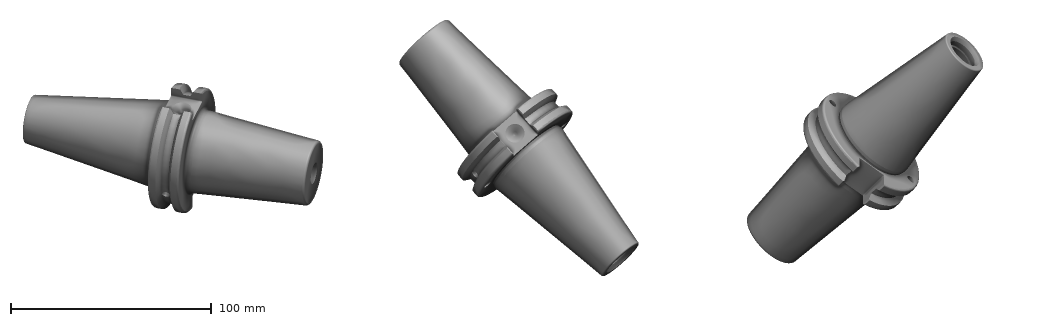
import cadquery as cq
import math

LENGTH = 148.2

GAUGE_X = 68.2
GAUGE_DIAMETER = 44.5
TAPER_RATIO = 7 / 24
SHANK_ROUNDING = 0.7
GAUGE_BAND_WIDTH = 1.5
UNDERCUT_DIAMETER = 43.6
UNDERCUT_LEAD = 0.9

FLANGE_START = 71.2
FLANGE_END = 87.3
FLANGE_DIAMETER = 63.5
FLANGE_ROUNDING = 1.2
GROOVE_CENTER = 79.3
GROOVE_WIDTH = 3.7
GROOVE_DIAMETER = 56.6
GROOVE_WALL_ANGLE = 30.0

COLLAR_DIAMETER = 42.0
COLLAR_FILLET = 1.5
COLLAR_END = 90.7
NOSE_ANGLE = 4.5
NOSE_ROUNDING = 1.3

BORE_DIAMETER = 11.0
BORE_MOUTH_DIAMETER = 13.3
RECESS_DIAMETER = 16.3
RECESS_MOUTH_DIAMETER = 18.8
RECESS_CONE_DEPTH = 2.0
RECESS_DEPTH = 4.7
BORE_MOUTH_END = 22.2

SLOT_WIDTH = 16.3
SLOT_FLOORS = {1: 24.9, -1: 22.5}
SLOT_CORNER_RADIUS = 0.6
SLOT_LIP_START = 30.0
DIMPLE_DIAMETER = 9.5
DIMPLE_ANGLE = 118.0

COOLANT_ANGLE = 19.7
INLET_DIAMETER = 4.2
INLET_RADIUS = 27.1
INLET_TILT = 20.0
RADIAL_HOLE_DIAMETER = 4.2


def turned_body():
    gauge_r = GAUGE_DIAMETER / 2
    undercut_r = UNDERCUT_DIAMETER / 2
    flange_r = FLANGE_DIAMETER / 2
    groove_r = GROOVE_DIAMETER / 2
    collar_r = COLLAR_DIAMETER / 2
    tip_r = gauge_r - GAUGE_X * TAPER_RATIO / 2
    shoulder_r = tip_r + SHANK_ROUNDING * TAPER_RATIO / 2
    shank_offset = SHANK_ROUNDING * (1 - math.sqrt(0.5))
    band_end = GAUGE_X + GAUGE_BAND_WIDTH
    rim_r = flange_r - FLANGE_ROUNDING
    rim_offset = FLANGE_ROUNDING * (1 - math.sqrt(0.5))
    rim_mid_r = flange_r - rim_offset
    groove_half = GROOVE_WIDTH / 2
    lip_half = groove_half + (flange_r - groove_r) * math.tan(math.radians(GROOVE_WALL_ANGLE))
    blend_end = FLANGE_END + COLLAR_FILLET
    blend_offset = COLLAR_FILLET * (1 - math.sqrt(0.5))
    rounding_start = LENGTH - NOSE_ROUNDING
    nose_r = collar_r - (rounding_start - COLLAR_END) * math.tan(math.radians(NOSE_ANGLE))
    rounding_offset = NOSE_ROUNDING * math.sqrt(0.5)
    profile = (
        cq.Workplane("XY")
        .moveTo(0, 0)
        .lineTo(0, shoulder_r - SHANK_ROUNDING)
        .threePointArc((shank_offset, shoulder_r - shank_offset), (SHANK_ROUNDING, shoulder_r))
        .lineTo(GAUGE_X, gauge_r)
        .lineTo(band_end, gauge_r)
        .lineTo(band_end + UNDERCUT_LEAD, undercut_r)
        .lineTo(FLANGE_START, undercut_r)
        .lineTo(FLANGE_START, rim_r)
        .threePointArc((FLANGE_START + rim_offset, rim_mid_r), (FLANGE_START + FLANGE_ROUNDING, flange_r))
        .lineTo(GROOVE_CENTER - lip_half, flange_r)
        .lineTo(GROOVE_CENTER - groove_half, groove_r)
        .lineTo(GROOVE_CENTER + groove_half, groove_r)
        .lineTo(GROOVE_CENTER + lip_half, flange_r)
        .lineTo(FLANGE_END - FLANGE_ROUNDING, flange_r)
        .threePointArc((FLANGE_END - rim_offset, rim_mid_r), (FLANGE_END, rim_r))
        .lineTo(FLANGE_END, collar_r + COLLAR_FILLET)
        .threePointArc((FLANGE_END + blend_offset, collar_r + blend_offset), (blend_end, collar_r))
        .lineTo(COLLAR_END, collar_r)
        .lineTo(rounding_start, nose_r)
        .threePointArc(
            (rounding_start + rounding_offset, nose_r - NOSE_ROUNDING + rounding_offset),
            (LENGTH, nose_r - NOSE_ROUNDING),
        )
        .lineTo(LENGTH, 0)
        .close()
    )
    return profile.revolve(360, (0, 0, 0), (1, 0, 0))


def stepped_bore():
    bore_r = BORE_DIAMETER / 2
    mouth_r = BORE_MOUTH_DIAMETER / 2
    recess_r = RECESS_DIAMETER / 2
    profile = (
        cq.Workplane("XY")
        .moveTo(0, 0)
        .lineTo(0, RECESS_MOUTH_DIAMETER / 2)
        .lineTo(RECESS_CONE_DEPTH, recess_r)
        .lineTo(RECESS_DEPTH, recess_r)
        .lineTo(RECESS_DEPTH, mouth_r)
        .lineTo(BORE_MOUTH_END, mouth_r)
        .lineTo(BORE_MOUTH_END + mouth_r - bore_r, bore_r)
        .lineTo(LENGTH, bore_r)
        .lineTo(LENGTH, 0)
        .close()
    )
    return profile.revolve(360, (0, 0, 0), (1, 0, 0))


def drive_slot(side, floor):
    """Cutter for one slot, with rounded floor corners and chamfered lips."""
    half = SLOT_WIDTH / 2
    top = FLANGE_DIAMETER / 2
    flare = half + top - SLOT_LIP_START
    depth = FLANGE_END - FLANGE_START
    channel = (
        cq.Workplane("YZ", origin=(FLANGE_START, 0, 0))
        .center(0, (floor + top) / 2)
        .rect(SLOT_WIDTH, top - floor)
        .extrude(depth)
        .edges("|X and <Z")
        .fillet(SLOT_CORNER_RADIUS)
    )
    lips = (
        cq.Workplane("YZ", origin=(FLANGE_START, 0, 0))
        .polyline([(-half, SLOT_LIP_START), (half, SLOT_LIP_START), (flare, top), (-flare, top)])
        .close()
        .extrude(depth)
    )
    cutter = channel.union(lips)
    return cutter if side > 0 else cutter.mirror("XY")


def slot_dimple():
    radius = DIMPLE_DIAMETER / 2
    depth = radius / math.tan(math.radians(DIMPLE_ANGLE / 2))
    tip = cq.Vector(GROOVE_CENTER, 0, SLOT_FLOORS[1])
    return cq.Workplane(cq.Solid.makeCone(radius, 0, depth, tip, cq.Vector(0, 0, -1)))


def coolant_passage(angle):
    """Cutter built along +Y, then turned about the X axis."""
    tilt = math.radians(INLET_TILT)
    direction = cq.Vector(math.cos(tilt), -math.sin(tilt), 0)
    mouth = cq.Vector(FLANGE_START, INLET_RADIUS, 0)
    reach = (GROOVE_CENTER - FLANGE_START) / math.cos(tilt)
    lead_in = INLET_DIAMETER
    inlet = cq.Solid.makeCylinder(
        INLET_DIAMETER / 2, reach + lead_in, mouth - direction * lead_in, direction
    )
    radial_hole = cq.Solid.makeCylinder(
        RADIAL_HOLE_DIAMETER / 2,
        FLANGE_DIAMETER / 2,
        cq.Vector(GROOVE_CENTER, 0, 0),
        cq.Vector(0, 1, 0),
    )
    passage = cq.Workplane(inlet).union(cq.Workplane(radial_hole))
    return passage.rotate((0, 0, 0), (1, 0, 0), angle)


result = turned_body().cut(stepped_bore())
for slot_side, slot_floor in SLOT_FLOORS.items():
    result = result.cut(drive_slot(slot_side, slot_floor))
result = result.cut(slot_dimple())
for passage_angle in (COOLANT_ANGLE, COOLANT_ANGLE + 180):
    result = result.cut(coolant_passage(passage_angle))